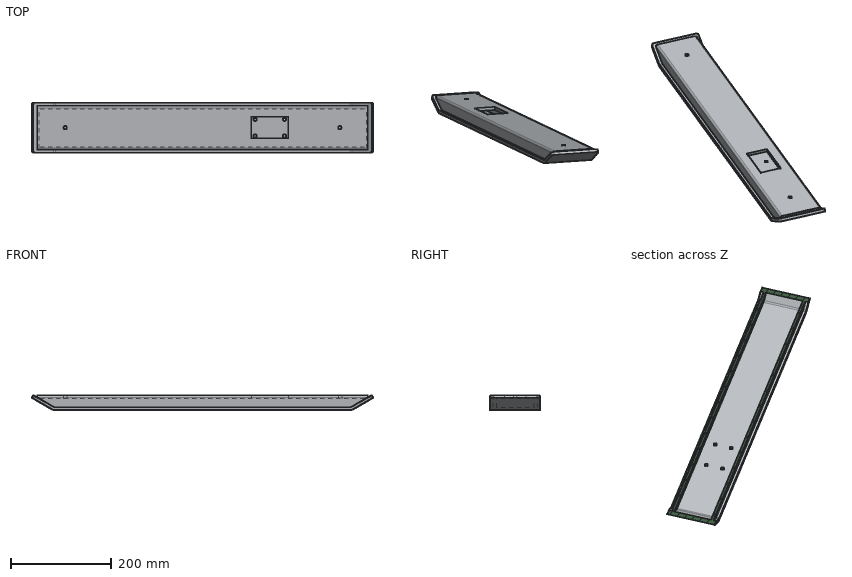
import cadquery as cq
import math

length = 680.0
width = 100.0
height = 30.0
plate_thickness = 6.0
bend_angle = math.radians(30)
bend_inner_radius = 8.0
plate_corner_radius = 5.0

cover_length = 658.0
cover_width = 88.0
cover_edge_radius = 4.0
cover_thickness = 6.0

opening_x = 134.0
opening_length = 73.5
opening_width = 43.0
opening_hole_diameter = 6.0
opening_hole_spacing_x = 58.5
opening_hole_spacing_y = 33.0

end_hole_spacing = 547.0
end_hole_diameter = 7.0

tip_z = height - plate_thickness * math.cos(bend_angle)
tip_top_x = length / 2 - plate_thickness * math.sin(bend_angle)
bend_outer_x = length / 2 - tip_z / math.tan(bend_angle)
bend_inner_x = bend_outer_x - plate_thickness * math.tan(bend_angle / 2)


def extrude_across(points, total_width):
    """Extrude an XZ outline symmetrically about the XZ plane."""
    return cq.Workplane("XZ").polyline(points).close().extrude(total_width / 2, both=True)


def make_plate():
    right_points = [
        (bend_outer_x, 0),
        (length / 2, tip_z),
        (tip_top_x, height),
        (bend_inner_x, plate_thickness),
    ]
    left_points = [(-x, z) for x, z in reversed(right_points)]
    plate = extrude_across(right_points + left_points, width)

    tip_mid_x = (length / 2 + tip_top_x) / 2
    tip_mid_z = (tip_z + height) / 2
    for x in (-tip_mid_x, tip_mid_x):
        for y in (-width / 2, width / 2):
            corner = cq.selectors.NearestToPointSelector((x, y, tip_mid_z))
            plate = plate.edges(corner).fillet(plate_corner_radius)

    for side in (-1, 1):
        inner_bend = cq.selectors.NearestToPointSelector((side * bend_inner_x, 0, plate_thickness))
        plate = plate.edges(inner_bend).fillet(bend_inner_radius)
        outer_bend = cq.selectors.NearestToPointSelector((side * bend_outer_x, 0, 0))
        plate = plate.edges(outer_bend).fillet(bend_inner_radius + plate_thickness)
    return plate


def make_cover():
    overlap = plate_thickness / 2
    half_length = cover_length / 2
    bottom_x = bend_outer_x - overlap * math.tan(bend_angle / 2)
    end_z = overlap + (half_length - bottom_x) * math.tan(bend_angle)
    points = [
        (-bottom_x, overlap),
        (bottom_x, overlap),
        (half_length, end_z),
        (half_length, height),
        (-half_length, height),
        (-half_length, end_z),
    ]
    cover = extrude_across(points, cover_width)
    cover = cover.faces(">Z").edges("|X").fillet(cover_edge_radius)
    cavity = cq.Workplane("XY").box(
        length,
        cover_width - 2 * cover_thickness,
        height - cover_thickness,
        centered=(True, True, False),
    )
    return cover.cut(cavity)


def cut_opening(part):
    top = cq.Workplane("XY", origin=(opening_x, 0, height))
    opening = top.rect(opening_length, opening_width).extrude(-cover_thickness)
    holes = (
        top.rect(opening_hole_spacing_x, opening_hole_spacing_y, forConstruction=True)
        .vertices()
        .circle(opening_hole_diameter / 2)
        .extrude(-height)
    )
    return part.cut(opening).cut(holes)


def cut_end_holes(part):
    holes = (
        cq.Workplane("XY", origin=(0, 0, height))
        .pushPoints([(-end_hole_spacing / 2, 0), (end_hole_spacing / 2, 0)])
        .circle(end_hole_diameter / 2)
        .extrude(-cover_thickness)
    )
    return part.cut(holes)


result = make_plate().union(make_cover())
result = cut_opening(result)
result = cut_end_holes(result)